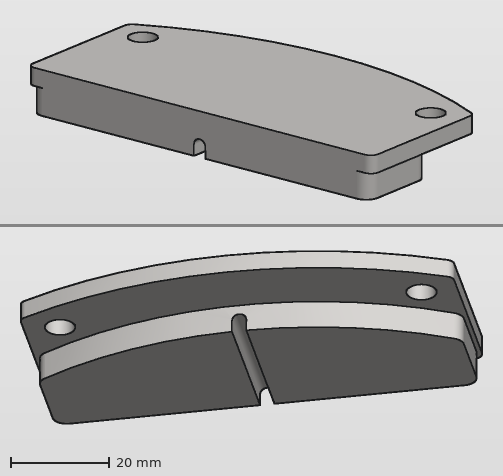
import cadquery as cq
import math

plate_width = 90.0
plate_depth = 44.0
plate_thickness = 4.0
plate_arc_radius = 99.0
plate_corner_radius = 2.0

pad_width = 88.0
pad_depth = 30.3
pad_thickness = 6.0
pad_corner_radius = 3.0
arc_center_y = plate_depth - plate_arc_radius
pad_arc_radius = pad_depth - arc_center_y

hole_diameter = 6.2
hole_spacing = 75.1
hole_y = 28.5

groove_width = 3.0
groove_height = 4.0


def arched_block(width, depth, arc_radius, thickness, corner_radius):
    """Block with a straight front at Y = 0, an arched back and rounded vertical edges."""
    half = width / 2
    side_depth = arc_center_y + math.sqrt(arc_radius**2 - half**2)
    return (
        cq.Workplane("XY")
        .moveTo(-half, 0)
        .lineTo(half, 0)
        .lineTo(half, side_depth)
        .threePointArc((0, depth), (-half, side_depth))
        .close()
        .extrude(thickness)
        .edges("|Z")
        .fillet(corner_radius)
    )


def groove():
    """Cutter running along Y, open at the bottom and rounded at the top."""
    radius = groove_width / 2
    straight_height = groove_height - radius
    return (
        cq.Workplane("XZ")
        .moveTo(-radius, 0)
        .lineTo(radius, 0)
        .lineTo(radius, straight_height)
        .threePointArc((0, groove_height), (-radius, straight_height))
        .close()
        .extrude(-pad_depth)
    )


def mounting_holes():
    """Pair of cylinders that pass through the plate."""
    return (
        cq.Workplane("XY", origin=(0, 0, pad_thickness))
        .pushPoints([(side * hole_spacing / 2, hole_y) for side in (-1, 1)])
        .circle(hole_diameter / 2)
        .extrude(plate_thickness)
    )


pad = arched_block(pad_width, pad_depth, pad_arc_radius, pad_thickness, pad_corner_radius)
plate = arched_block(
    plate_width, plate_depth, plate_arc_radius, plate_thickness, plate_corner_radius
).translate((0, 0, pad_thickness))

result = pad.cut(groove()).union(plate.cut(mounting_holes()))